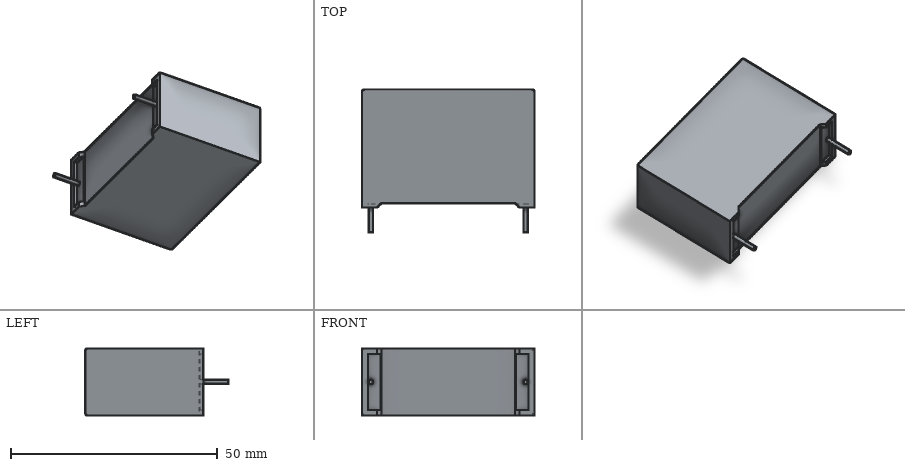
import cadquery as cq

CASE_LENGTH = 41.8
CASE_DEPTH = 28.6
CASE_WIDTH = 16.3
REAR_FILLET = 0.63

FOOT_LENGTH = 3.68
RELIEF_DEPTH = 1.1
RELIEF_FLOOR_LENGTH = CASE_LENGTH - 2 * (FOOT_LENGTH + RELIEF_DEPTH)

STRIP_THICKNESS = 0.13

POCKET_MARGIN = 1.42
POCKET_LENGTH = 3.05
POCKET_WIDTH = CASE_WIDTH - 2 * POCKET_MARGIN
POCKET_DEPTH = 0.85

LEAD_DIAMETER = 1.1
LEAD_PITCH = 37.5
LEAD_PROTRUSION = 6.0

SIDES = (-1, 1)


def make_relief():
    """Tapering opening between the feet, across the full case width."""
    half_opening = CASE_LENGTH / 2 - FOOT_LENGTH
    half_floor = RELIEF_FLOOR_LENGTH / 2
    return (
        cq.Workplane("XY")
        .polyline([
            (-half_opening, 0),
            (half_opening, 0),
            (half_floor, RELIEF_DEPTH),
            (-half_floor, RELIEF_DEPTH),
        ])
        .close()
        .extrude(CASE_WIDTH / 2, both=True)
    )


def make_pocket(side):
    pocket_x = side * (CASE_LENGTH / 2 - POCKET_MARGIN - POCKET_LENGTH / 2)
    return (
        cq.Workplane("XY", origin=(pocket_x, 0, 0))
        .box(POCKET_LENGTH, POCKET_DEPTH, POCKET_WIDTH, centered=(True, False, True))
    )


def make_case():
    body = cq.Workplane("XY").box(CASE_LENGTH, CASE_DEPTH, CASE_WIDTH, centered=(True, False, True))
    body = body.faces(">Y").edges().fillet(REAR_FILLET)
    body = body.cut(make_relief())
    for side in SIDES:
        body = body.cut(make_pocket(side))
    return body


def make_strip():
    return (
        cq.Workplane("XY", origin=(0, RELIEF_DEPTH - STRIP_THICKNESS, 0))
        .box(RELIEF_FLOOR_LENGTH, STRIP_THICKNESS, CASE_WIDTH, centered=(True, False, True))
    )


def make_lead(side):
    return (
        cq.Workplane("XZ", origin=(side * LEAD_PITCH / 2, POCKET_DEPTH, 0))
        .circle(LEAD_DIAMETER / 2)
        .extrude(POCKET_DEPTH + LEAD_PROTRUSION)
    )


case = make_case()
strip = make_strip()
leads = [make_lead(side) for side in SIDES]

result = cq.Compound.makeCompound([case.val(), strip.val(), *[lead.val() for lead in leads]])